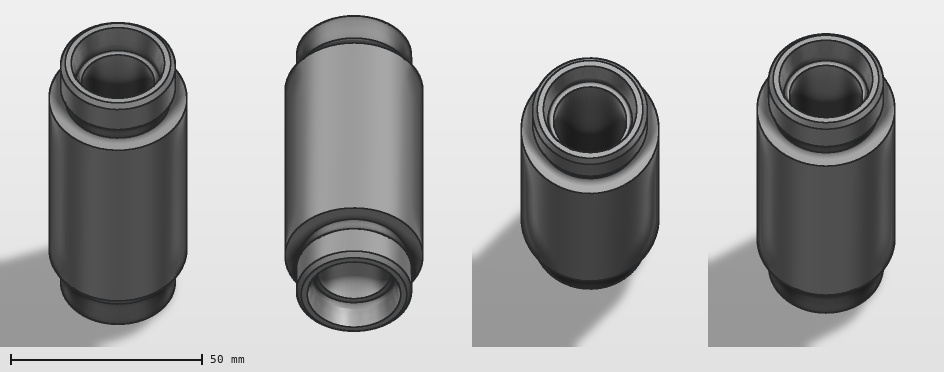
import cadquery as cq

length = 88.0
body_diameter = 36.0
collar_diameter = 30.0
neck_diameter = 27.5
bore_diameter = 19.0

collar_height = 10.6
neck_height = 3.4
body_height = length - 2 * (collar_height + neck_height)

collar_chamfer = (collar_diameter - neck_diameter) / 2

mouth_diameter = 24.4
seat_diameter = 22.0
taper_depth = 5.5
socket_depth = 7.7


def cylinder(diameter, height, base):
    """Cylinder on the Z axis, rising from the given base height."""
    return cq.Workplane("XY").workplane(offset=base).circle(diameter / 2).extrude(height)


def collar():
    """Upper end collar with both outer edges chamfered."""
    blank = cylinder(collar_diameter, collar_height, length / 2 - collar_height)
    return blank.edges().chamfer(collar_chamfer)


def socket():
    """Upper socket, revolved from half of its section."""
    top = length / 2
    return (
        cq.Workplane("XZ")
        .moveTo(0, top)
        .lineTo(mouth_diameter / 2, top)
        .lineTo(seat_diameter / 2, top - taper_depth)
        .lineTo(seat_diameter / 2, top - socket_depth)
        .lineTo(0, top - socket_depth)
        .close()
        .revolve(360, (0, 0), (0, 1))
    )


def at_both_ends(feature):
    """The feature together with its mirror image at the lower end."""
    return feature.union(feature.mirror("XY"))


body = cylinder(body_diameter, body_height, -body_height / 2)
neck_length = body_height + 2 * neck_height
necks = cylinder(neck_diameter, neck_length, -neck_length / 2)
outside = body.union(necks).union(at_both_ends(collar()))
bore = cylinder(bore_diameter, length, -length / 2)

result = outside.cut(bore).cut(at_both_ends(socket()))